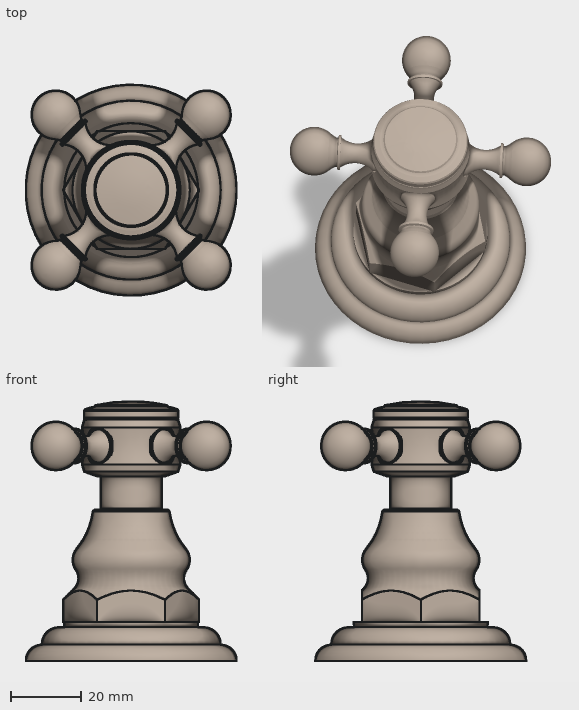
import cadquery as cq
import math

base_diameter = 59.9
base_radius = base_diameter / 2
base_step_height = 4.65
upper_step_radius = 25.4
upper_step_height = 4.95
step_rounding = 4.6
base_height = base_step_height + upper_step_height

neck_radius = 19.0
hex_sides = 6
hex_bottom_z = 11.1
hex_across_flats = 33.5
hex_corner_diameter = hex_across_flats / math.cos(math.pi / hex_sides)
hex_chamfer_z = 17.4

bell_bottom_z = 20.5
bell_bottom_radius = hex_corner_diameter / 2 - (bell_bottom_z - hex_chamfer_z)
waist_radius, waist_z = 15.0, 23.15
waist_end_radius, waist_end_z = 15.8, 25.95
bulge_radius, bulge_z = 16.65, 28.7
bulge_end_radius, bulge_end_z = 15.55, 31.8
shoulder_radius, shoulder_z = 13.7, 34.35
flare_radius, flare_z = 11.95, 38.2
bell_rim_radius, bell_rim_z = 10.9, 42.45
bell_top_radius, bell_top_z = 10.3, 43.0

spindle_radius = 4.9
stem_radius = 8.7
stem_bottom_z = 43.3

arm_z = 61.0
hub_half_waist = 5.2
hub_waist_radius = 13.5
hub_radius = 14.0
hub_bottom_z = 52.4
hub_bottom_radius = 9.6
hub_lower_edge_z = 53.7
hub_end_radius = 13.35

groove_radius = 12.8
groove_bottom_z = 68.5
cap_bottom_z = 69.1
cap_radius = 13.4
cap_edge_z = 70.9
cap_shoulder_radius, cap_shoulder_z = 13.1, 71.4
cap_ring_outer_radius, cap_ring_outer_z = 11.6, 71.95
cap_ring_inner_radius, cap_ring_inner_z = 10.5, 72.15
dome_radius, dome_edge_z = 10.1, 72.6
total_height = 73.7

arm_count = 4
first_arm_angle = 45
ball_distance = 30.2
ball_radius = 6.9
ball_neck_distance = 26.0
ball_fillet_distance, ball_fillet_radius = 25.0, 4.7
collar_outer_distance, collar_outer_radius = 24.1, 4.2
collar_groove_distance = 23.6
collar_edge_distance = 23.4
collar_inner_distance = 22.7
collar_radius = 4.95
stalk_outer_radius = 4.35
stalk_waist_distance, stalk_waist_radius = 18.05, 2.8
stalk_inner_distance, stalk_inner_radius = 13.3, 4.8
arm_root_distance = 7.4

pocket_radius = 5.15
pocket_floor_distance = 12.5


def revolve_profile(profile):
    """Turn a closed half profile (radius, height) around the Z axis."""
    return profile.close().revolve(360, (0, 0), (0, 1))


def make_base():
    profile = (
        cq.Workplane("XZ")
        .lineTo(base_radius, 0)
        .radiusArc((base_radius - step_rounding, base_step_height), -base_step_height)
        .lineTo(upper_step_radius, base_step_height)
        .radiusArc((upper_step_radius - step_rounding, base_height), -upper_step_height)
        .lineTo(neck_radius, base_height)
        .lineTo(neck_radius, hex_bottom_z)
        .lineTo(0, hex_bottom_z)
    )
    return revolve_profile(profile)


def make_nut():
    prism = (
        cq.Workplane("XY", origin=(0, 0, hex_bottom_z))
        .polygon(hex_sides, hex_corner_diameter)
        .extrude(bell_bottom_z - hex_bottom_z)
    )
    chamfer_profile = (
        cq.Workplane("XZ")
        .moveTo(0, hex_bottom_z)
        .lineTo(hex_corner_diameter / 2, hex_bottom_z)
        .lineTo(hex_corner_diameter / 2, hex_chamfer_z)
        .lineTo(bell_bottom_radius, bell_bottom_z)
        .lineTo(0, bell_bottom_z)
    )
    return prism.intersect(revolve_profile(chamfer_profile))


def make_bell():
    profile = (
        cq.Workplane("XZ")
        .moveTo(0, bell_bottom_z)
        .lineTo(bell_bottom_radius, bell_bottom_z)
        .threePointArc((waist_radius, waist_z), (waist_end_radius, waist_end_z))
        .threePointArc((bulge_radius, bulge_z), (bulge_end_radius, bulge_end_z))
        .lineTo(shoulder_radius, shoulder_z)
        .threePointArc((flare_radius, flare_z), (bell_rim_radius, bell_rim_z))
        .lineTo(bell_top_radius, bell_top_z)
        .lineTo(spindle_radius, bell_top_z)
        .lineTo(spindle_radius, stem_bottom_z)
        .lineTo(0, stem_bottom_z)
    )
    return revolve_profile(profile)


def make_hub():
    dome_rise = total_height - dome_edge_z
    dome_sphere_radius = (dome_radius**2 + dome_rise**2) / (2 * dome_rise)
    profile = (
        cq.Workplane("XZ")
        .moveTo(0, stem_bottom_z)
        .lineTo(stem_radius, stem_bottom_z)
        .lineTo(stem_radius, hub_bottom_z)
        .lineTo(hub_bottom_radius, hub_bottom_z)
        .lineTo(hub_end_radius, hub_lower_edge_z)
        .lineTo(hub_radius, arm_z - hub_half_waist)
        .threePointArc((hub_waist_radius, arm_z), (hub_radius, arm_z + hub_half_waist))
        .lineTo(hub_end_radius, groove_bottom_z)
        .lineTo(groove_radius, groove_bottom_z)
        .lineTo(groove_radius, cap_bottom_z)
        .lineTo(cap_radius, cap_bottom_z)
        .lineTo(cap_radius, cap_edge_z)
        .lineTo(cap_shoulder_radius, cap_shoulder_z)
        .lineTo(cap_ring_outer_radius, cap_ring_outer_z)
        .lineTo(cap_ring_inner_radius, cap_ring_inner_z)
        .lineTo(dome_radius, dome_edge_z)
        .radiusArc((0, total_height), -dome_sphere_radius)
    )
    return revolve_profile(profile)


def make_arm():
    """Arm along +X: waisted stalk, collar and ball."""
    ball_neck_radius = math.sqrt(ball_radius**2 - (ball_distance - ball_neck_distance) ** 2)
    return (
        cq.Workplane("XZ")
        .moveTo(arm_root_distance, 0)
        .lineTo(arm_root_distance, stalk_inner_radius)
        .lineTo(stalk_inner_distance, stalk_inner_radius)
        .threePointArc(
            (stalk_waist_distance, stalk_waist_radius),
            (collar_inner_distance, stalk_outer_radius),
        )
        .lineTo(collar_inner_distance, collar_radius)
        .lineTo(collar_edge_distance, collar_radius)
        .lineTo(collar_groove_distance, collar_outer_radius)
        .lineTo(collar_outer_distance, collar_outer_radius)
        .threePointArc(
            (ball_fillet_distance, ball_fillet_radius),
            (ball_neck_distance, ball_neck_radius),
        )
        .threePointArc((ball_distance, ball_radius), (ball_distance + ball_radius, 0))
        .close()
        .revolve(360, (0, 0), (1, 0))
        .translate((0, 0, arm_z))
    )


def make_pocket():
    """Cutter along +X that clears the hub surface around one arm."""
    return (
        cq.Workplane("YZ", origin=(pocket_floor_distance, 0, arm_z))
        .circle(pocket_radius)
        .extrude(hub_radius - pocket_floor_distance)
    )


def add_arms(hub):
    """Cut the pockets and fit the arms, evenly spaced on the diagonals."""
    arm = make_arm()
    pocket = make_pocket()
    for index in range(arm_count):
        angle = first_arm_angle + index * 360 / arm_count
        hub = hub.cut(pocket.rotate((0, 0, 0), (0, 0, 1), angle))
        hub = hub.union(arm.rotate((0, 0, 0), (0, 0, 1), angle))
    return hub


handle = add_arms(make_hub())
result = make_base().union(make_nut()).union(make_bell()).union(handle)